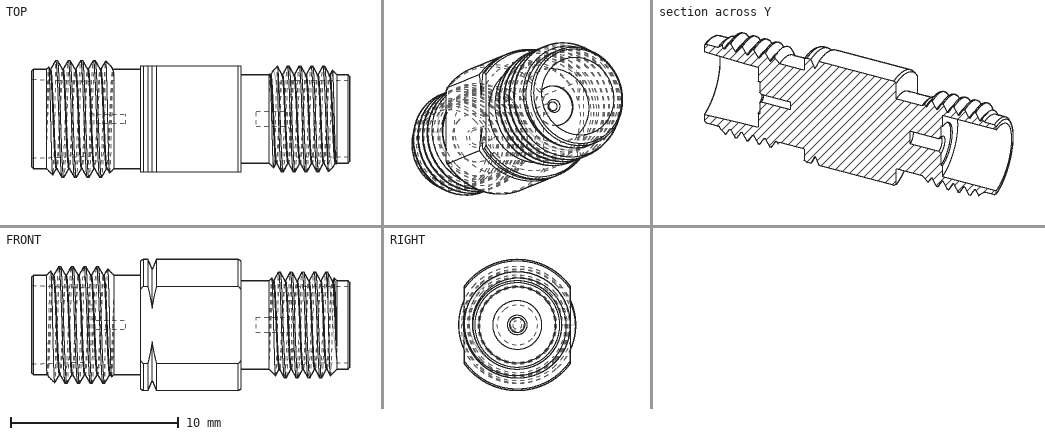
import cadquery as cq
import math

TOTAL_LENGTH = 19.0

BODY_START = 6.5
BODY_LENGTH = 6.0
BODY_END = BODY_START + BODY_LENGTH
BODY_DIAMETER = 7.85
FLAT_WIDTH = 6.35
BODY_CHAMFER_LENGTH = 0.17
BODY_CHAMFER_DEPTH = 0.10

MARK_GROOVE_OFFSET = 0.7
MARK_GROOVE_CENTER = BODY_START + MARK_GROOVE_OFFSET
MARK_GROOVE_HALF_WIDTH = 0.26
MARK_GROOVE_ROOT_RADIUS = 3.33

LEFT_BARREL_DIAMETER = 5.96
RIGHT_BARREL_DIAMETER = 5.3
BARREL_CHAMFER = 0.12

INCH = 25.4
LEFT_THREAD_DIAMETER = 7.0
LEFT_THREAD_PITCH = 0.75
LEFT_THREAD_START = 0.90
LEFT_THREAD_END = 4.91
LEFT_THREAD_CREST_X = 2.43
RIGHT_THREAD_DIAMETER = INCH / 4
RIGHT_THREAD_PITCH = INCH / 36
RIGHT_THREAD_START = 14.18
RIGHT_THREAD_END = 18.22
RIGHT_THREAD_CREST_X = 16.2

THREAD_CREST_WIDTH = 0.10
THREAD_ROOT_WIDTH = 0.05
THREAD_EMBEDDING = 0.02
CONE_MARGIN = 0.1

SOCKET_DEPTH = 3.5
LEFT_SOCKET_MOUTH_DIAMETER = 4.7
LEFT_SOCKET_FLOOR_DIAMETER = 4.47
RIGHT_SOCKET_DIAMETER = 4.57
LEFT_LINE_DIAMETER = 2.4
RIGHT_LINE_DIAMETER = 2.92
LINE_RECESS_DEPTH = 0.1
LEFT_CONTACT_DIAMETER = 0.53
LEFT_CONTACT_MOUTH_DIAMETER = 0.79
RIGHT_CONTACT_DIAMETER = 0.91
RIGHT_CONTACT_MOUTH_DIAMETER = 1.17
CONTACT_DEPTH = 2.0


def revolve_about_x(points):
    """Solid of revolution about X from (x, radius) points."""
    axis_start = (0, 0, 0)
    axis_end = (1, 0, 0)
    return cq.Workplane("XY").polyline(points).close().revolve(360, axis_start, axis_end)


def wrench_body():
    radius = BODY_DIAMETER / 2
    end_radius = radius - BODY_CHAMFER_DEPTH
    body = revolve_about_x([
        (BODY_START, 0),
        (BODY_START, end_radius),
        (BODY_START + BODY_CHAMFER_LENGTH, radius),
        (MARK_GROOVE_CENTER - MARK_GROOVE_HALF_WIDTH, radius),
        (MARK_GROOVE_CENTER, MARK_GROOVE_ROOT_RADIUS),
        (MARK_GROOVE_CENTER + MARK_GROOVE_HALF_WIDTH, radius),
        (BODY_END - BODY_CHAMFER_LENGTH, radius),
        (BODY_END, end_radius),
        (BODY_END, 0),
    ])
    flats = cq.Workplane("XY").box(TOTAL_LENGTH, FLAT_WIDTH, BODY_DIAMETER)
    return body.intersect(flats.translate((TOTAL_LENGTH / 2, 0, 0)))


def barrels():
    left_radius = LEFT_BARREL_DIAMETER / 2
    right_radius = RIGHT_BARREL_DIAMETER / 2
    middle = BODY_START + BODY_LENGTH / 2
    return revolve_about_x([
        (0, 0),
        (0, left_radius - BARREL_CHAMFER),
        (BARREL_CHAMFER, left_radius),
        (middle, left_radius),
        (middle, right_radius),
        (TOTAL_LENGTH - BARREL_CHAMFER, right_radius),
        (TOTAL_LENGTH, right_radius - BARREL_CHAMFER),
        (TOTAL_LENGTH, 0),
    ])


def helical_ridge(pitch, turns, profile):
    """Solid swept along a right-handed helix about Z from a closed profile of (radius, z) corners."""
    height = turns * pitch
    helices = []
    for radius, z in profile:
        helix = cq.Wire.makeHelix(pitch, height, radius)
        helices.append(helix.translate(cq.Vector(0, 0, z)))

    faces = []
    for index, helix in enumerate(helices):
        faces.append(cq.Face.makeRuledSurface(helices[index - 1], helix))
    for lift in (0, height):
        corners = [cq.Vector(radius, 0, z + lift) for radius, z in profile]
        faces.append(cq.Face.makeFromWires(cq.Wire.makePolygon(corners, close=True)))
    return cq.Workplane(obj=cq.Solid.makeSolid(cq.Shell.makeShell(faces)))


def thread(start, end, barrel_diameter, thread_diameter, pitch, crest_x):
    """V-shaped thread ridge around a barrel, trimmed by a cone at each end.

    crest_x is the position of one crest on the +Z side.
    """
    barrel_radius = barrel_diameter / 2
    crest_radius = thread_diameter / 2
    thread_depth = crest_radius - barrel_radius

    inner_radius = barrel_radius - CONE_MARGIN
    outer_radius = crest_radius + CONE_MARGIN
    cone_length = outer_radius - inner_radius
    envelope_start = start - CONE_MARGIN
    envelope_end = end + CONE_MARGIN
    envelope = revolve_about_x([
        (envelope_start, 0),
        (envelope_start, inner_radius),
        (envelope_start + cone_length, outer_radius),
        (envelope_end - cone_length, outer_radius),
        (envelope_end, inner_radius),
        (envelope_end, 0),
    ])

    crest_half_width = THREAD_CREST_WIDTH / 2
    base_half_width = (pitch - THREAD_ROOT_WIDTH) / 2
    flank_slope = (base_half_width - crest_half_width) / thread_depth
    buried_radius = barrel_radius - THREAD_EMBEDDING
    buried_half_width = base_half_width + flank_slope * THREAD_EMBEDDING
    profile = [
        (buried_radius, -buried_half_width),
        (buried_radius, buried_half_width),
        (crest_radius, crest_half_width),
        (crest_radius, -crest_half_width),
    ]

    turns_before = math.ceil((crest_x - start) / pitch) + 1
    turns_after = math.ceil((end - crest_x) / pitch) + 1
    ridge = (
        helical_ridge(pitch, turns_before + turns_after, profile)
        .rotate((0, 0, 0), (0, 0, 1), 180)
        .rotate((0, 0, 0), (0, 1, 0), 90)
        .translate((crest_x - turns_before * pitch, 0, 0))
    )
    return envelope.intersect(ridge)


def socket(mouth_diameter, floor_diameter, line_diameter, contact_diameter, contact_mouth_diameter):
    """Cavity opening at x = 0 and running toward +X: bore, shallow line recess and contact hole."""
    line_floor = SOCKET_DEPTH + LINE_RECESS_DEPTH
    contact_chamfer = (contact_mouth_diameter - contact_diameter) / 2
    contact_end = line_floor + CONTACT_DEPTH
    return revolve_about_x([
        (0, 0),
        (0, mouth_diameter / 2),
        (SOCKET_DEPTH, floor_diameter / 2),
        (SOCKET_DEPTH, line_diameter / 2),
        (line_floor, line_diameter / 2),
        (line_floor, contact_mouth_diameter / 2),
        (line_floor + contact_chamfer, contact_diameter / 2),
        (contact_end, contact_diameter / 2),
        (contact_end, 0),
    ])


left_thread = thread(
    LEFT_THREAD_START,
    LEFT_THREAD_END,
    LEFT_BARREL_DIAMETER,
    LEFT_THREAD_DIAMETER,
    LEFT_THREAD_PITCH,
    LEFT_THREAD_CREST_X,
)
right_thread = thread(
    RIGHT_THREAD_START,
    RIGHT_THREAD_END,
    RIGHT_BARREL_DIAMETER,
    RIGHT_THREAD_DIAMETER,
    RIGHT_THREAD_PITCH,
    RIGHT_THREAD_CREST_X,
)
left_socket = socket(
    LEFT_SOCKET_MOUTH_DIAMETER,
    LEFT_SOCKET_FLOOR_DIAMETER,
    LEFT_LINE_DIAMETER,
    LEFT_CONTACT_DIAMETER,
    LEFT_CONTACT_MOUTH_DIAMETER,
)
right_socket = socket(
    RIGHT_SOCKET_DIAMETER,
    RIGHT_SOCKET_DIAMETER,
    RIGHT_LINE_DIAMETER,
    RIGHT_CONTACT_DIAMETER,
    RIGHT_CONTACT_MOUTH_DIAMETER,
).mirror("YZ").translate((TOTAL_LENGTH, 0, 0))

adapter = barrels().union(wrench_body()).union(left_thread).union(right_thread)
result = adapter.cut(left_socket).cut(right_socket).solids()